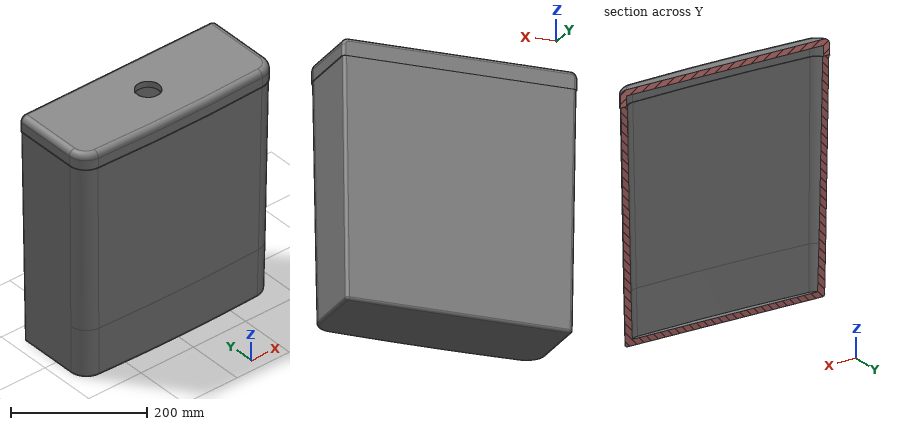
import cadquery as cq
import math

WIDTH = 373.0
DEPTH = 148.5
HEIGHT = 410.0

WALL = 10.5
CORNER_RADIUS = 31.0
FRONT_BOW_RADIUS = 3280.0
BACK_RADIUS = 5.0

LID_HEIGHT = 28.0
LID_TOP_RADIUS = 10.2
LID_OVERHANG = 1.2
BUTTON_DIAMETER = 40.0
BUTTON_FROM_BACK = 70.5

RIM_Z = HEIGHT - LID_HEIGHT
BREAK_Z = 87.0
SIDE_INSET = 5.5
BACK_INSET = 2.0
FRONT_INSET_AT_BREAK = 3.3
FRONT_INSET = 5.0
BOTTOM_RADIUS = 4.0


def outline(z, half_width, back_y, front_y, corner_radius, bow_radius):
    """Closed outline at height z: straight back and sides, bowed front, round front corners."""
    bow_center_y = front_y + bow_radius
    corner_x = half_width - corner_radius
    corner_angle = math.asin(corner_x / (bow_radius - corner_radius))
    corner_y = bow_center_y - (bow_radius - corner_radius) * math.cos(corner_angle)
    tangent_x = bow_radius * math.sin(corner_angle)
    tangent_y = bow_center_y - bow_radius * math.cos(corner_angle)
    mid_angle = (math.pi / 2 + corner_angle) / 2
    mid_x = corner_x + corner_radius * math.sin(mid_angle)
    mid_y = corner_y - corner_radius * math.cos(mid_angle)
    return (
        cq.Workplane("XY", origin=(0, 0, z))
        .moveTo(-half_width, back_y)
        .lineTo(-half_width, corner_y)
        .threePointArc((-mid_x, mid_y), (-tangent_x, tangent_y))
        .threePointArc((0, front_y), (tangent_x, tangent_y))
        .threePointArc((mid_x, mid_y), (half_width, corner_y))
        .lineTo(half_width, back_y)
        .close()
    )


def lid_block(top_z, offset):
    """Lid prism from the tank rim up to top_z, its sides moved inward by offset."""
    return outline(
        RIM_Z,
        WIDTH / 2 - offset,
        -offset,
        -DEPTH + offset,
        CORNER_RADIUS - offset,
        FRONT_BOW_RADIUS - offset,
    ).extrude(top_z - RIM_Z)


def make_lid():
    """Cap open at the bottom, with rounded top edges and a button hole through its top."""
    lid = lid_block(HEIGHT, 0)
    lid = lid.faces(">Z").edges("not >Y").fillet(LID_TOP_RADIUS)
    lid = lid.faces(">Y").edges("not <Z").fillet(BACK_RADIUS)
    lid = lid.cut(lid_block(HEIGHT - WALL, WALL))
    button_hole = (
        cq.Workplane("XY", origin=(0, -BUTTON_FROM_BACK, RIM_Z))
        .circle(BUTTON_DIAMETER / 2)
        .extrude(LID_HEIGHT)
    )
    return lid.cut(button_hole).solids()


def front_inset(z):
    """Inward shift of the tank's front at height z, with its lean changing at BREAK_Z."""
    if z >= BREAK_Z:
        return FRONT_INSET_AT_BREAK * (RIM_Z - z) / (RIM_Z - BREAK_Z)
    extra_inset = FRONT_INSET - FRONT_INSET_AT_BREAK
    return FRONT_INSET_AT_BREAK + extra_inset * (BREAK_Z - z) / BREAK_Z


def tank_section(z, offset):
    """Tank outline at height z, moved inward by offset; sides and back lean in evenly."""
    drop = (RIM_Z - z) / RIM_Z
    edge_offset = LID_OVERHANG + offset
    return outline(
        z,
        WIDTH / 2 - edge_offset - SIDE_INSET * drop,
        -offset - BACK_INSET * drop,
        -DEPTH + edge_offset + front_inset(z),
        CORNER_RADIUS - edge_offset,
        FRONT_BOW_RADIUS - edge_offset,
    ).val()


def tank_block(bottom_z, offset):
    """Tapered block from bottom_z to the rim, its sides moved inward by offset."""
    bottom = tank_section(bottom_z, offset)
    front_break = tank_section(BREAK_Z, offset)
    rim = tank_section(RIM_Z, offset)
    lower = cq.Workplane(cq.Solid.makeLoft([bottom, front_break], True))
    upper = cq.Workplane(cq.Solid.makeLoft([front_break, rim], True))
    return lower.union(upper, clean=True)


def make_tank():
    """Hollow tank open at the rim, with rounded back corners and bottom edges."""
    tank = tank_block(0, 0)
    tank = tank.faces(">Y").edges("not |X").fillet(BACK_RADIUS)
    tank = tank.faces("<Z").edges().fillet(BOTTOM_RADIUS)
    return tank.cut(tank_block(WALL, WALL)).solids()


lid = make_lid()
tank = make_tank()
result = cq.Compound.makeCompound([lid.val(), tank.val()])